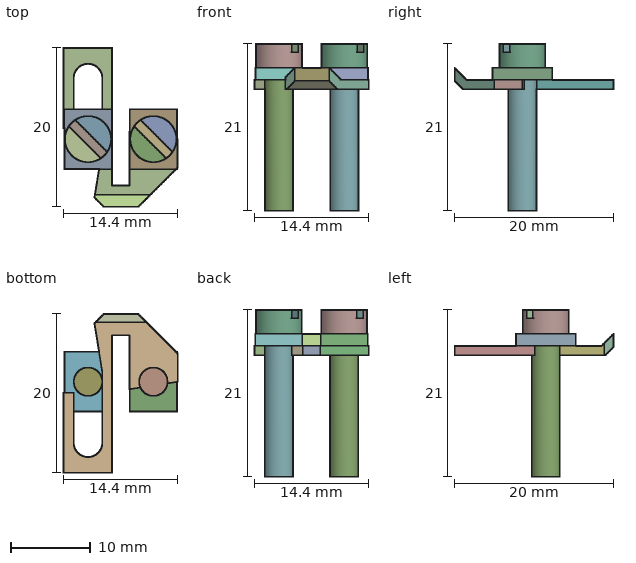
import cadquery as cq


screw_pitch = 8.21
shank_radius = 1.78
head_radius = 2.9
head_height = 2.98
drive_slot_width = 1.13
drive_slot_depth = 1.05
drive_slot_angle = -45
overall_height = 21.0

washer_width = 5.95
washer_length = 7.54
washer_thickness = 1.55

plate_thickness = 1.18
plate_left = -3.1
plate_right = 11.3
plate_back = 11.47
plate_front = -8.53
left_arm_right = 3.02
right_arm_left = 5.19
notch_bottom = -5.82
left_arm_end = 1.36
slot_center_y = 7.66
slot_mouth_y = -1.25
right_arm_inner_end = 0.95
right_arm_outer_end = 0.0
lip_left = 0.8
lip_front_left = 2.0
lip_front_right = 6.3

lip_bend_top = -7.0
lip_bend_bottom = -7.48

washer_top = plate_thickness + washer_thickness
head_top = washer_top + head_height
shank_bottom = head_top - overall_height


def make_plate():
    """Intersect the plan outline with the bent side profile."""
    left_chamfer = lip_front_left - lip_left
    right_chamfer = plate_right - lip_front_right
    outline = (
        cq.Workplane("XY")
        .workplane(offset=shank_bottom)
        .moveTo(plate_left, plate_back)
        .lineTo(left_arm_right, plate_back)
        .lineTo(left_arm_right, notch_bottom)
        .lineTo(right_arm_left, notch_bottom)
        .lineTo(right_arm_left, right_arm_inner_end)
        .lineTo(plate_right, right_arm_outer_end)
        .lineTo(plate_right, plate_front + right_chamfer)
        .lineTo(lip_front_right, plate_front)
        .lineTo(lip_front_left, plate_front)
        .lineTo(lip_left, plate_front + left_chamfer)
        .lineTo(shank_radius, slot_mouth_y)
        .lineTo(shank_radius, slot_center_y)
        .threePointArc((0, slot_center_y + shank_radius), (-shank_radius, slot_center_y))
        .lineTo(-shank_radius, left_arm_end)
        .lineTo(plate_left, left_arm_end)
        .close()
        .extrude(overall_height)
    )
    side_profile = (
        cq.Workplane("YZ")
        .workplane(offset=plate_left)
        .polyline([
            (plate_back, 0),
            (plate_back, plate_thickness),
            (lip_bend_top, plate_thickness),
            (plate_front, plate_thickness + lip_bend_top - plate_front),
            (plate_front, lip_bend_bottom - plate_front),
            (lip_bend_bottom, 0),
        ])
        .close()
        .extrude(plate_right - plate_left)
    )
    return outline.intersect(side_profile)


def make_screw():
    """Slotted cheese-head screw with its rectangular washer."""
    shank = (
        cq.Workplane("XY")
        .workplane(offset=shank_bottom)
        .circle(shank_radius)
        .extrude(washer_top - shank_bottom)
    )
    washer = (
        cq.Workplane("XY")
        .workplane(offset=plate_thickness)
        .rect(washer_width, washer_length)
        .extrude(washer_thickness)
    )
    head = (
        cq.Workplane("XY")
        .workplane(offset=washer_top)
        .circle(head_radius)
        .extrude(head_height)
    )
    drive_slot = (
        cq.Workplane("XY")
        .workplane(offset=head_top - drive_slot_depth)
        .transformed(rotate=(0, 0, drive_slot_angle))
        .rect(2 * head_radius, drive_slot_width)
        .extrude(drive_slot_depth)
    )
    return shank.union(washer).union(head.cut(drive_slot))


result = make_plate()
for screw_x in (0, screw_pitch):
    result = result.union(make_screw().translate((screw_x, 0, 0)))